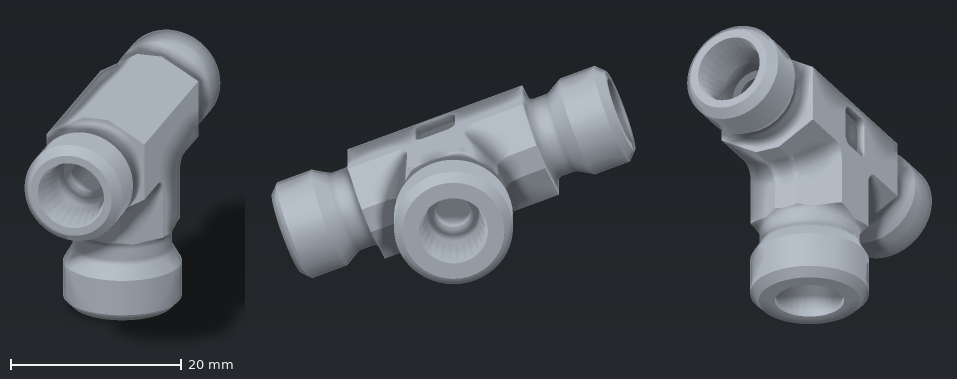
import cadquery as cq
import math

end_reach = 21.0
shoulder_reach = 11.0
thread_length = 5.35
tip_chamfer = 1.0

across_flats = 12.0
across_cut_corners = 12.15
crotch_radius = 2.0

run_thread_diameter = 12.0
run_neck_diameter = 9.7
branch_thread_diameter = 14.0
branch_neck_diameter = 11.7
neck_fillet = 1.0
thread_cone_angle = math.radians(30)

mouth_diameter = 8.1
seat_diameter = 6.0
passage_diameter = 4.0
mouth_half_angle = math.radians(12)
seat_depth = 7.0

recess_side = 5.0
recess_corner_radius = 1.0
recess_depth = 1.0

branch_plane = cq.Plane(origin=(0, 0, 0), xDir=(1, 0, 0), normal=(0, 0, -1))
run_planes = [
    cq.Plane(origin=(0, 0, 0), xDir=(1, 0, 0), normal=(0, side, 0))
    for side in (-1, 1)
]


def revolve_profile(profile, plane):
    """Turn a closed (radius, distance) profile about the plane's normal."""
    section_plane = cq.Plane(origin=plane.origin, xDir=plane.xDir, normal=-plane.yDir)
    section = profile(cq.Workplane(section_plane)).close()
    return section.revolve(360, (0, 0, 0), (0, 1, 0))


def hex_bar(plane, length):
    """Hexagonal bar from the centre outward, flats on +/-X, cross corners cut flat."""
    circumscribed = across_flats / math.cos(math.pi / 6)
    hexagon = cq.Workplane(plane).transformed(rotate=(0, 0, 90)).polygon(6, circumscribed)
    trim = cq.Workplane(plane).rect(across_flats, across_cut_corners).extrude(length)
    return hexagon.extrude(length).intersect(trim)


def port_end(plane, thread_diameter, neck_diameter):
    """Neck, cone and threaded cylinder outside the hexagonal stock."""
    thread_radius = thread_diameter / 2
    neck_radius = neck_diameter / 2
    thread_start = end_reach - thread_length
    cone_start_radius = neck_radius + neck_fillet * (1 - math.cos(thread_cone_angle))
    cone_length = (thread_radius - cone_start_radius) / math.tan(thread_cone_angle)
    cone_start = thread_start - cone_length
    neck_end = cone_start - neck_fillet * math.sin(thread_cone_angle)
    half_angle = thread_cone_angle / 2
    arc_middle = (
        neck_radius + neck_fillet * (1 - math.cos(half_angle)),
        neck_end + neck_fillet * math.sin(half_angle),
    )

    def profile(sketch):
        return (
            sketch.lineTo(neck_radius, 0)
            .lineTo(neck_radius, neck_end)
            .threePointArc(arc_middle, (cone_start_radius, cone_start))
            .lineTo(thread_radius, thread_start)
            .lineTo(thread_radius, end_reach - tip_chamfer)
            .lineTo(thread_radius - tip_chamfer, end_reach)
            .lineTo(0, end_reach)
        )

    return revolve_profile(profile, plane)


def shoulder_flare(plane, neck_diameter):
    """Fillet between shoulder and neck, kept within the hexagonal outline."""
    neck_radius = neck_diameter / 2
    flare_radius = neck_radius + neck_fillet
    flare_end = shoulder_reach + neck_fillet
    arc_middle = (
        flare_radius - neck_fillet * math.sin(math.pi / 4),
        flare_end - neck_fillet * math.cos(math.pi / 4),
    )

    def profile(sketch):
        return (
            sketch.moveTo(0, shoulder_reach)
            .lineTo(flare_radius, shoulder_reach)
            .threePointArc(arc_middle, (neck_radius, flare_end))
            .lineTo(0, flare_end)
        )

    return revolve_profile(profile, plane).intersect(hex_bar(plane, flare_end))


def port_bore(plane):
    """Conical mouth, cylindrical seat and the narrow passage to the centre."""
    mouth_radius = mouth_diameter / 2
    seat_radius = seat_diameter / 2
    passage_radius = passage_diameter / 2
    cone_depth = (mouth_radius - seat_radius) / math.tan(mouth_half_angle)

    def profile(sketch):
        return (
            sketch.lineTo(passage_radius, 0)
            .lineTo(passage_radius, end_reach - seat_depth)
            .lineTo(seat_radius, end_reach - seat_depth)
            .lineTo(seat_radius, end_reach - cone_depth)
            .lineTo(mouth_radius, end_reach)
            .lineTo(0, end_reach)
        )

    return revolve_profile(profile, plane)


def tee_stock():
    """Run and branch bars joined, with the crotches between them rounded."""
    run = hex_bar(run_planes[0], shoulder_reach).union(hex_bar(run_planes[1], shoulder_reach))
    branch = hex_bar(branch_plane, shoulder_reach)
    stock = run.union(branch).clean()
    margin = 0.05
    half_width = across_flats / 2 + margin
    inner = across_flats / 2 * math.tan(math.pi / 6) - margin
    outer = across_cut_corners / 2 + margin
    for low, high in ((-outer, -inner), (inner, outer)):
        crotch = cq.selectors.BoxSelector(
            (-half_width, low, -outer), (half_width, high, -inner), boundingbox=True
        )
        stock = stock.edges(crotch).fillet(crotch_radius)
    return stock


def face_recess():
    """Rounded square cutter sunk into the -X face."""
    return (
        cq.Workplane("YZ", origin=(-across_flats / 2, 0, 0))
        .rect(recess_side, recess_side)
        .extrude(recess_depth)
        .edges("|X")
        .fillet(recess_corner_radius)
    )


ports = [(plane, run_thread_diameter, run_neck_diameter) for plane in run_planes]
ports.append((branch_plane, branch_thread_diameter, branch_neck_diameter))

result = tee_stock()
for port_plane, thread_size, neck_size in ports:
    result = result.union(shoulder_flare(port_plane, neck_size))
    result = result.union(port_end(port_plane, thread_size, neck_size))
for port_plane, _, _ in ports:
    result = result.cut(port_bore(port_plane))
result = result.cut(face_recess())